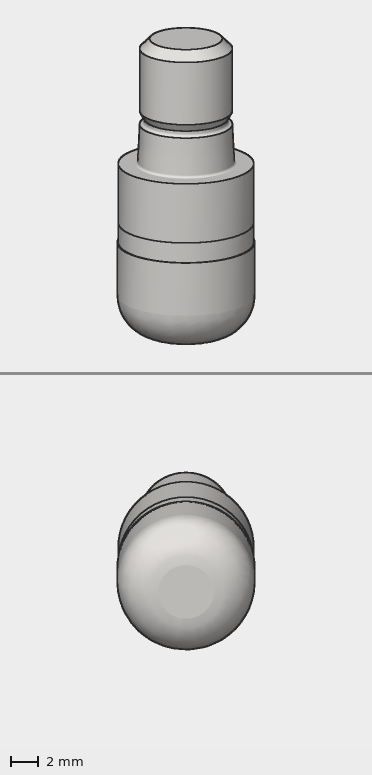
import cadquery as cq
import math

total_height = 22.5
step_height = 7.0
split_height = 8.5
shoulder_height = 13.0
collar_top_height = 16.0
groove_top_height = 16.42
head_bottom_height = 17.0
head_chamfer = 0.75

cap_radius = 5.0
barrel_radius = 4.93
collar_bottom_radius = 3.5
collar_top_radius = 3.38
groove_radius = 3.04
head_radius = 3.38

cap_corner_radius = 3.0
root_fillet_radius = 0.2
groove_fillet_radius = 0.2

arc_inset = 1 - math.sqrt(0.5)


def revolve_profile(profile):
    """Turn a closed half-section (radius, height) into a solid about Z."""
    return profile.close().revolve(360, (0, 0, 0), (0, 1, 0))


def make_cap():
    """Lower body: domed end with a small step up to the barrel diameter."""
    flat_radius = cap_radius - cap_corner_radius
    corner_inset = cap_corner_radius * arc_inset
    return revolve_profile(
        cq.Workplane("XZ")
        .lineTo(flat_radius, 0)
        .threePointArc((cap_radius - corner_inset, corner_inset), (cap_radius, cap_corner_radius))
        .lineTo(cap_radius, step_height)
        .lineTo(barrel_radius, step_height)
        .lineTo(barrel_radius, split_height)
        .lineTo(0, split_height)
    )


def make_stud():
    """Upper body: barrel, tapered collar, relief groove and chamfered head."""
    root_inset = root_fillet_radius * arc_inset
    groove_inset = groove_fillet_radius * arc_inset
    return revolve_profile(
        cq.Workplane("XZ")
        .moveTo(0, split_height)
        .lineTo(barrel_radius, split_height)
        .lineTo(barrel_radius, shoulder_height)
        .lineTo(collar_bottom_radius + root_fillet_radius, shoulder_height)
        .threePointArc(
            (collar_bottom_radius + root_inset, shoulder_height + root_inset),
            (collar_bottom_radius, shoulder_height + root_fillet_radius),
        )
        .lineTo(collar_top_radius, collar_top_height)
        .lineTo(groove_radius + groove_fillet_radius, collar_top_height)
        .threePointArc(
            (groove_radius + groove_inset, collar_top_height + groove_inset),
            (groove_radius, collar_top_height + groove_fillet_radius),
        )
        .lineTo(groove_radius, groove_top_height)
        .lineTo(head_radius, head_bottom_height)
        .lineTo(head_radius, total_height - head_chamfer)
        .lineTo(head_radius - head_chamfer, total_height)
        .lineTo(0, total_height)
    )


cap = make_cap()
stud = make_stud()

result = cq.Compound.makeCompound([cap.val(), stud.val()])